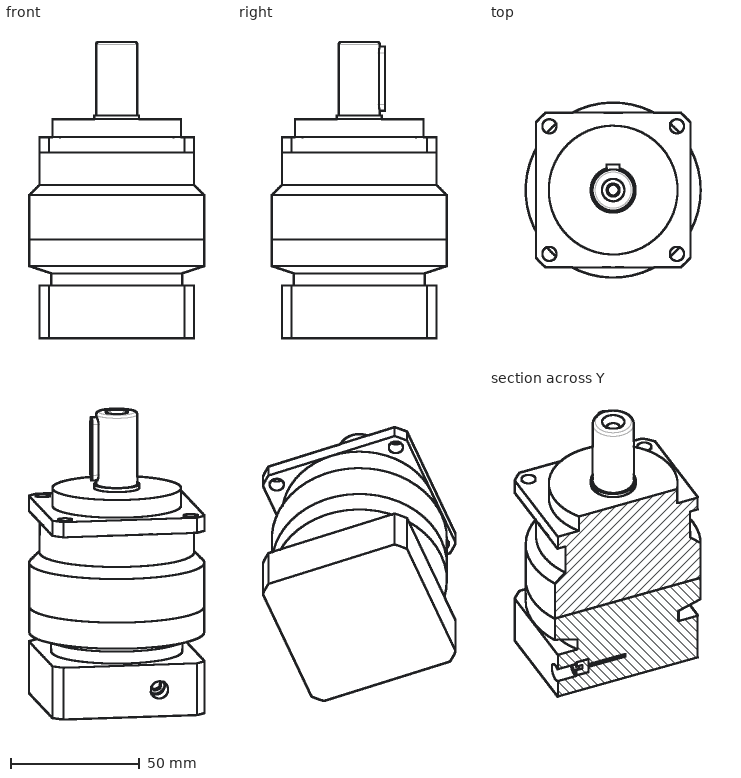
import cadquery as cq
import math

block_top = 20.5
neck_top = 25.2
cone_top = 28
joint_height = 38.3
taper_bottom = 55.5
taper_top = 59.5
flange_bottom = 72
flange_top = 78
pilot_top = 85
collar_top = 86.5
shaft_top = 115

square_side = 60
corner_circle_radius = 39.85
mounting_circle_diameter = 70
mounting_hole_diameter = 5.5

neck_radius = 25.5
body_radius = 34
upper_radius = square_side / 2
pilot_radius = 25
collar_radius = 8.75
shaft_radius = 8
shaft_edge_fillet = 1

centre_mouth_radius = 4.35
centre_thread_radius = 2.5
centre_drill_radius = 2.1
centre_cone_depth = 2.5
centre_thread_depth = 12.5
centre_drill_depth = 17
drill_point_angle = math.radians(60)

key_width = 5
key_height = 5
key_length = 25
key_bottom = 88.25
key_outer_y = 10

access_hole_diameter = 6.8
access_hole_depth = 8
access_y = -11.5
access_z = 10.5
screw_z = 11
screw_head_diameter = 7.2
screw_head_length = 5
screw_head_fillet = 0.6
screw_shank_diameter = 4
screw_shank_length = 16
screw_socket_width = 4
screw_socket_depth = 2.5
screw_socket_turn = 10

block_side_x = -square_side / 2
head_face_x = block_side_x + access_hole_depth
shank_x = head_face_x + screw_head_length


def disc(radius, bottom, top):
    """Cylinder about the Z axis between two heights."""
    return cq.Workplane("XY", origin=(0, 0, bottom)).circle(radius).extrude(top - bottom)


def turned_square(bottom, top):
    """Square plate about the Z axis with its corners turned to a circle."""
    height = top - bottom
    square = cq.Workplane("XY", origin=(0, 0, bottom)).rect(square_side, square_side).extrude(height)
    return square.intersect(disc(corner_circle_radius, bottom, top))


def rod_along_x(diameter, start_x, length, z):
    """Cylinder running in +X from start_x, level with the access hole in Y."""
    return cq.Workplane("YZ", origin=(start_x, access_y, z)).circle(diameter / 2).extrude(length)


def make_key():
    """Round-ended key let into the +Y side of the shaft."""
    outline_centre_z = key_bottom + key_length / 2
    return (
        cq.Workplane("XZ", origin=(0, key_outer_y, outline_centre_z))
        .slot2D(key_length, key_width, 90)
        .extrude(key_height)
    )


def make_centre_hole():
    """Cutter for the centre hole: countersink, thread bore, drilled core and drill point."""
    point_depth = centre_drill_radius / math.tan(drill_point_angle)
    thread_end = shaft_top - centre_thread_depth
    drill_end = shaft_top - centre_drill_depth
    return (
        cq.Workplane("XZ")
        .moveTo(0, shaft_top)
        .lineTo(centre_mouth_radius, shaft_top)
        .lineTo(centre_thread_radius, shaft_top - centre_cone_depth)
        .lineTo(centre_thread_radius, thread_end)
        .lineTo(centre_drill_radius, thread_end)
        .lineTo(centre_drill_radius, drill_end)
        .lineTo(0, drill_end - point_depth)
        .close()
        .revolve(360, (0, 0), (0, 1))
    )


def make_output_housing():
    """Upper housing with its square flange, pilot and output shaft."""
    barrel = (
        cq.Workplane("XZ")
        .moveTo(0, joint_height)
        .lineTo(body_radius, joint_height)
        .lineTo(body_radius, taper_bottom)
        .lineTo(upper_radius, taper_top)
        .lineTo(upper_radius, flange_bottom)
        .lineTo(0, flange_bottom)
        .close()
        .revolve(360, (0, 0), (0, 1))
    )
    hole_pitch = mounting_circle_diameter / math.sqrt(2)
    flange = turned_square(flange_bottom, flange_top)
    holes = (
        cq.Workplane("XY", origin=(0, 0, flange_bottom))
        .rect(hole_pitch, hole_pitch, forConstruction=True)
        .vertices()
        .circle(mounting_hole_diameter / 2)
        .extrude(flange_top - flange_bottom)
    )
    flange = flange.cut(holes)
    pilot = disc(pilot_radius, flange_top, pilot_top)
    collar = disc(collar_radius, pilot_top, collar_top)
    shaft = disc(shaft_radius, collar_top, shaft_top).faces(">Z").edges().fillet(shaft_edge_fillet)
    housing = barrel.union(flange).union(pilot).union(collar).union(shaft)
    return housing.cut(make_centre_hole()).cut(make_key())


def make_clamping_screw():
    """Socket-head screw lying along X, its head facing the access hole."""
    head = rod_along_x(screw_head_diameter, head_face_x, screw_head_length, screw_z)
    head = head.faces("<X").edges().fillet(screw_head_fillet)
    shank = rod_along_x(screw_shank_diameter, shank_x, screw_shank_length, screw_z)
    socket_corner_diameter = screw_socket_width / math.cos(math.pi / 6)
    socket = (
        cq.Workplane("YZ", origin=(head_face_x, access_y, screw_z))
        .transformed(rotate=(0, 0, 90 + screw_socket_turn))
        .polygon(6, socket_corner_diameter)
        .extrude(screw_socket_depth)
    )
    return head.union(shank).cut(socket)


def make_input_housing():
    """Lower housing: adapter block, neck, flared ring, and the recess for the screw."""
    ring = (
        cq.Workplane("XZ")
        .moveTo(0, block_top)
        .lineTo(neck_radius, block_top)
        .lineTo(neck_radius, neck_top)
        .lineTo(body_radius, cone_top)
        .lineTo(body_radius, joint_height)
        .lineTo(0, joint_height)
        .close()
        .revolve(360, (0, 0), (0, 1))
    )
    access_hole = rod_along_x(access_hole_diameter, block_side_x, access_hole_depth, access_z)
    head_recess = rod_along_x(screw_head_diameter, head_face_x, screw_head_length, screw_z)
    shank_hole = rod_along_x(screw_shank_diameter, shank_x, screw_shank_length, screw_z)
    housing = turned_square(0, block_top).union(ring)
    return housing.cut(access_hole).cut(head_recess).cut(shank_hole)


output_housing = make_output_housing()
input_housing = make_input_housing()
key = make_key()
clamping_screw = make_clamping_screw()

result = cq.Compound.makeCompound(
    [output_housing.val(), input_housing.val(), key.val(), clamping_screw.val()]
)